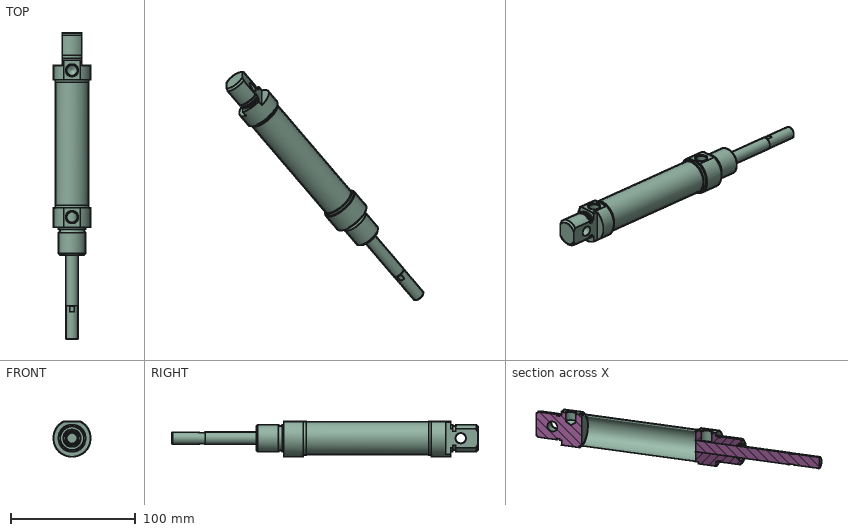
import cadquery as cq
import math


length = 246.0
thread_end = 27.0
nose_start = 67.6
front_groove_start = 85.5
front_groove_end = 88.5
front_flange_start = 89.8
front_flange_end = 105.5
barrel_start = 107.7
barrel_end = 206.5
rear_flange_start = 208.4
rear_flange_end = 224.0
rear_groove_start = 225.5
rear_groove_end = 228.0

flange_diameter = 30.0
collar_diameter = 27.0
mount_diameter = 22.0
groove_diameter = 19.7
flange_flat_height = 13.5

barrel_diameter = 26.5
barrel_bore = 25.0

rod_diameter = 10.0
thread_diameter = 9.8
rod_tip_diameter = 8.5
wrench_width = 9.0
wrench_length = 4.5
wrench_end = 26.5

nose_chamfer = 1.5
seal_recess_diameter = 14.0
seal_recess_depth = 2.5
lip_bore_diameter = 11.0
lip_bore_depth = 4.0

eye_width = 16.0
eye_chamfer = 1.7
eye_flat_start = 220.0
pivot_diameter = 8.0
pivot_y = 232.0

port_diameter = 8.5
port_mouth_diameter = 10.0
port_drill_angle = 118.0
front_port_y = 98.2
rear_port_y = 216.0
rear_port_depth = 7.5


def cylinder_y(diameter, start, end):
    """Solid cylinder on the Y axis between two stations."""
    return cq.Workplane("XZ", origin=(0, start, 0)).circle(diameter / 2).extrude(start - end)


def box_between(x_size, start, end, bottom, top):
    """Box centred on X, between two stations along Y and two heights."""
    box = cq.Workplane("XY").box(x_size, end - start, top - bottom, centered=(True, False, False))
    return box.translate((0, start, bottom))


def cut_port_seat(cap, start, end):
    """Flat on top of a flange, around its port."""
    return cap.cut(box_between(flange_diameter, start, end, flange_flat_height, flange_diameter))


def cut_port(cap, port_y, depth):
    """Vertical port with a chamfered mouth and a conical drill point below its full depth."""
    bore_radius = port_diameter / 2
    mouth_radius = port_mouth_diameter / 2
    mouth_bottom = flange_flat_height - (mouth_radius - bore_radius)
    bore_bottom = flange_flat_height - depth
    point_depth = bore_radius / math.tan(math.radians(port_drill_angle / 2))
    port = (
        cq.Workplane("XZ")
        .moveTo(0, flange_flat_height)
        .lineTo(mouth_radius, flange_flat_height)
        .lineTo(bore_radius, mouth_bottom)
        .lineTo(bore_radius, bore_bottom)
        .lineTo(0, bore_bottom - point_depth)
        .close()
        .revolve(360, (0, 0, 0), (0, 1, 0))
        .translate((0, port_y, 0))
    )
    return cap.cut(port)


def make_barrel():
    """Plain tube between the two caps."""
    tube = cylinder_y(barrel_diameter, barrel_start, barrel_end)
    return tube.cut(cylinder_y(barrel_bore, barrel_start, barrel_end))


def make_rod():
    """Piston rod with a slimmer threaded end, a chamfered tip and two wrench flats."""
    tip_chamfer = (thread_diameter - rod_tip_diameter) / 2
    thread = cylinder_y(thread_diameter, 0, thread_end).faces("<Y").chamfer(tip_chamfer)
    flat = box_between(
        rod_diameter, wrench_end - wrench_length, wrench_end, wrench_width / 2, rod_diameter
    )
    thread = thread.cut(flat).cut(flat.mirror("XY"))
    return thread.union(cylinder_y(rod_diameter, thread_end, barrel_start))


def make_front_cap():
    """Front cap: threaded nose with a rounded relief groove, flange, collar and rod bore."""
    mount_radius = mount_diameter / 2
    groove_middle = (front_groove_start + front_groove_end) / 2
    cap = (
        cq.Workplane("XY")
        .moveTo(0, nose_start)
        .lineTo(mount_radius - nose_chamfer, nose_start)
        .lineTo(mount_radius, nose_start + nose_chamfer)
        .lineTo(mount_radius, front_groove_start)
        .threePointArc((groove_diameter / 2, groove_middle), (mount_radius, front_groove_end))
        .lineTo(mount_radius, front_flange_start)
        .lineTo(flange_diameter / 2, front_flange_start)
        .lineTo(flange_diameter / 2, front_flange_end)
        .lineTo(collar_diameter / 2, front_flange_end)
        .lineTo(collar_diameter / 2, barrel_start)
        .lineTo(0, barrel_start)
        .close()
        .revolve(360, (0, 0, 0), (0, 1, 0))
    )
    cap = cut_port_seat(cap, front_flange_start, front_flange_end)
    cap = cut_port(cap, front_port_y, flange_flat_height)
    cap = cap.cut(cylinder_y(rod_diameter, nose_start, barrel_start))
    cap = cap.cut(cylinder_y(lip_bore_diameter, nose_start, nose_start + lip_bore_depth))
    return cap.cut(cylinder_y(seal_recess_diameter, nose_start, nose_start + seal_recess_depth))


def make_rear_cap():
    """Rear cap: collar, flange, relief groove and a flat-sided eye with its pivot hole."""
    cap = cylinder_y(mount_diameter, rear_groove_end, length).faces(">Y").chamfer(eye_chamfer)
    cap = cap.union(cylinder_y(groove_diameter, rear_groove_start, rear_groove_end))
    cap = cap.union(cylinder_y(mount_diameter, rear_flange_end, rear_groove_start))
    cap = cap.union(cylinder_y(flange_diameter, rear_flange_start, rear_flange_end))
    cap = cap.union(cylinder_y(collar_diameter, barrel_end, rear_flange_start))

    half_flange = flange_diameter / 2
    outside = box_between(2 * flange_diameter, eye_flat_start, length, -half_flange, half_flange)
    outside = outside.cut(box_between(eye_width, eye_flat_start, length, -half_flange, half_flange))
    cap = cap.cut(outside)

    pivot = cq.Workplane("YZ").center(pivot_y, 0).circle(pivot_diameter / 2).extrude(eye_width, both=True)
    cap = cap.cut(pivot)
    cap = cut_port_seat(cap, rear_flange_start, rear_flange_end)
    return cut_port(cap, rear_port_y, rear_port_depth)


barrel = make_barrel()
rod = make_rod()
front_cap = make_front_cap()
rear_cap = make_rear_cap()

result = cq.Compound.makeCompound([barrel.val(), rod.val(), front_cap.val(), rear_cap.val()])